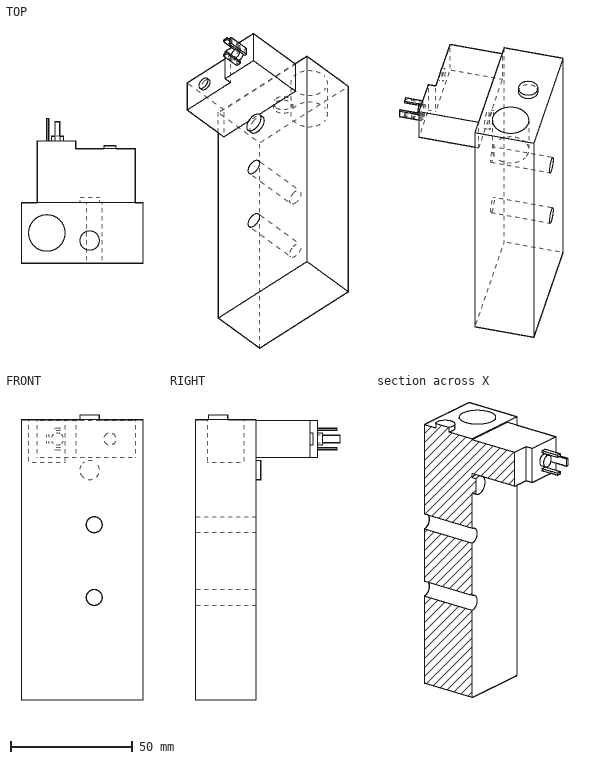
import cadquery as cq

body_width = 50.0
body_depth = 25.0
total_height = 117.5
knob_height = 2.0
body_height = total_height - knob_height

mount_hole_diameter = 6.5
mount_hole_x = 30.0
mount_hole_spacing = 30.0
mount_hole_mid_z = 57.2

port_diameter = 15.0
port_x = 10.5
port_y = body_depth / 2
port_depth = 17.6

knob_diameter = 8.0
knob_x = 28.1
top_knob_y = 9.4
back_knob_z = 94.7

solenoid_left = 6.5
solenoid_width = 40.4
solenoid_height = 15.3
solenoid_top_drop = 0.4
solenoid_top = body_height - solenoid_top_drop
solenoid_mid_z = solenoid_top - solenoid_height / 2
connector_width = 16.0
connector_y = 50.4
step_depth = 3.2
step_y = connector_y - step_depth

button_diameter = 5.0
button_height = 1.3
button_x = 36.4

connector_x = 14.8
boss_diameter = button_diameter
boss_height = 2.0
blade_offset = 4.0
blade_thickness = 0.9
blade_width = 2.1
blade_length = 8.0
ground_blade_width = 3.3
total_depth = 59.7
ground_blade_length = total_depth - connector_y


def back_cylinder(diameter, length, x, y, z):
    """Cylinder running toward +Y from its base centre."""
    return cq.Workplane(cq.Solid.makeCylinder(diameter / 2, length, cq.Vector(x, y, z), cq.Vector(0, 1, 0)))


def top_cylinder(diameter, length, x, y, z):
    """Cylinder running toward +Z from its base centre."""
    return cq.Workplane(cq.Solid.makeCylinder(diameter / 2, length, cq.Vector(x, y, z)))


def contact_blade(x, z, size_x, size_z, length):
    """Flat blade running toward +Y from the connector face, centred on x and z."""
    blade = cq.Workplane().box(size_x, length, size_z, centered=(True, False, True))
    return blade.translate((x, connector_y, z))


def make_body():
    body = cq.Workplane().box(body_width, body_depth, body_height, centered=False)
    for side in (-1, 1):
        hole_z = mount_hole_mid_z + side * mount_hole_spacing / 2
        body = body.cut(back_cylinder(mount_hole_diameter, body_depth, mount_hole_x, 0, hole_z))
    body = body.cut(top_cylinder(port_diameter, port_depth, port_x, port_y, body_height - port_depth))
    body = body.union(top_cylinder(knob_diameter, knob_height, knob_x, top_knob_y, body_height))
    return body.union(back_cylinder(knob_diameter, knob_height, knob_x, body_depth, back_knob_z))


def make_solenoid():
    right = solenoid_left + solenoid_width
    step_x = solenoid_left + connector_width
    outline = [
        (solenoid_left, body_depth),
        (right, body_depth),
        (right, step_y),
        (step_x, step_y),
        (step_x, connector_y),
        (solenoid_left, connector_y),
    ]
    block = cq.Workplane().polyline(outline).close().extrude(solenoid_height)
    block = block.translate((0, 0, solenoid_top - solenoid_height))
    return block.union(back_cylinder(button_diameter, button_height, button_x, step_y, solenoid_mid_z))


def add_connector(part):
    part = part.union(back_cylinder(boss_diameter, boss_height, connector_x, connector_y, solenoid_mid_z))
    for side in (-1, 1):
        blade_z = solenoid_mid_z + side * blade_offset
        part = part.union(contact_blade(connector_x, blade_z, blade_width, blade_thickness, blade_length))
    ground_x = connector_x - blade_offset
    return part.union(
        contact_blade(ground_x, solenoid_mid_z, blade_thickness, ground_blade_width, ground_blade_length)
    )


result = add_connector(make_body().union(make_solenoid()))